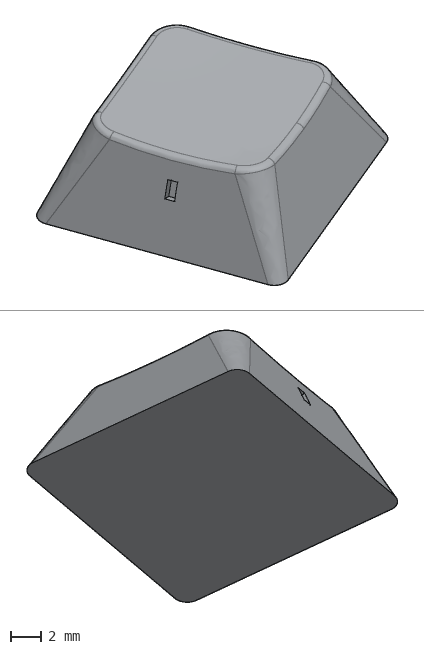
import cadquery as cq
import math

base_width = 18.0
base_corner_radius = 1.0
wall_lean = 21.5
blank_height = 7.2
blank_corner_radius = 2.1

dish_radius = 39.96
dish_floor = 5.98
rim_radius = 0.5

recess_width = 0.7
recess_height = 1.35
recess_depth = 0.7
recess_offset_x = 0.29
recess_center_z = 4.23

lean_slope = math.tan(math.radians(wall_lean))


def rounded_square(width, corner_radius, z):
    """Closed outline of a rounded square, centred on the Z axis at height z."""
    sketch = cq.Sketch().rect(width, width).vertices().fillet(corner_radius)
    return sketch.moved(cq.Location(cq.Vector(0, 0, z)))


def make_blank():
    top_width = base_width - 2 * blank_height * lean_slope
    base = rounded_square(base_width, base_corner_radius, 0)
    top = rounded_square(top_width, blank_corner_radius, blank_height)
    return cq.Workplane("XY").placeSketch(base, top).loft(ruled=True)


def make_dish():
    return cq.Workplane("XY").sphere(dish_radius).translate((0, 0, dish_floor + dish_radius))


def make_recess():
    wall_y = -base_width / 2 + recess_center_z * lean_slope
    box = cq.Workplane("XY").box(recess_width, 2 * recess_depth, recess_height)
    tilted = box.rotate((0, 0, 0), (1, 0, 0), -wall_lean)
    return tilted.translate((recess_offset_x, wall_y, recess_center_z))


keycap = make_blank().cut(make_dish())
keycap = keycap.faces("%SPHERE").edges().fillet(rim_radius)
result = keycap.cut(make_recess())